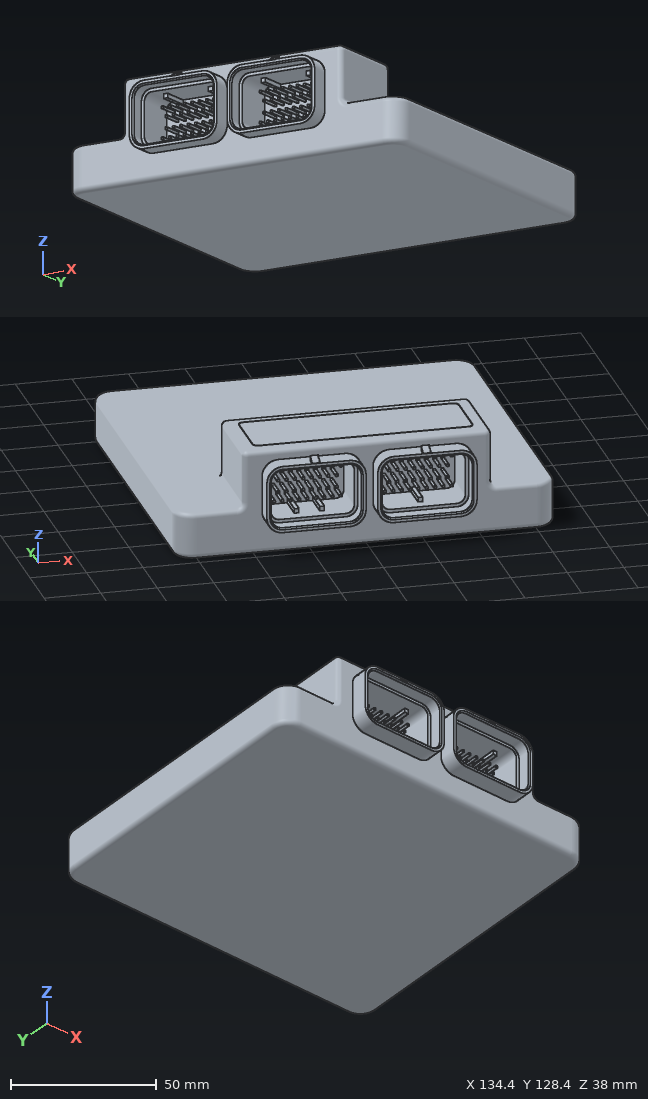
import cadquery as cq

BASE_WIDTH = 134.4
BASE_LENGTH = 121.5
BASE_HEIGHT = 17.1
BASE_CORNER_RADIUS = 7.0
TOWER_WIDTH = 87.9
TOWER_LENGTH = 31.9
TOTAL_HEIGHT = 38.0
TOTAL_LENGTH = 128.4
EDGE_RADIUS = 2.0

LABEL_WIDTH = 77.8
LABEL_LENGTH = 22.8
LABEL_CORNER_RADIUS = 2.0
LABEL_DEPTH = 0.1
LABEL_CENTER_Y = 16.1

CONNECTOR_OFFSET = 19.6
CONNECTOR_Z = 21.9
SHELL_WIDTH = 35.1
SHELL_HEIGHT = 24.3
SHELL_CORNER_RADIUS = 5.8
MOUTH_WALL = 1.1
THROAT_WALL = 1.6
BEVEL_ANGLE = 45
THROAT_DEPTH = 5.4
WELL_WALL = 2.8
WELL_DEPTH = 20.2
SHELL_FRONT_Y = BASE_LENGTH - TOTAL_LENGTH
THROAT_BACK_Y = SHELL_FRONT_Y + THROAT_DEPTH
WELL_FLOOR_Y = SHELL_FRONT_Y + WELL_DEPTH

PIN_DIAMETER = 1.0
PIN_PITCH = 3.0
PIN_LENGTH = 7.5
INNER_ROW_HEIGHT = 2.2
OUTER_ROW_HEIGHT = 5.5
PIN_ROWS = [
    (9, OUTER_ROW_HEIGHT),
    (8, INNER_ROW_HEIGHT),
    (8, -INNER_ROW_HEIGHT),
    (9, -OUTER_ROW_HEIGHT),
]

RIB_WIDTH = 1.6
RIB_HEIGHT = 1.6
RIB_LENGTH = 10.2
UPPER_RIB_OFFSET = 9.0
LOWER_RIB_OFFSET = UPPER_RIB_OFFSET / 2
WEDGE_WIDTH = 2.8
WEDGE_HEIGHT = 1.7
WEDGE_BACK_Y = -3.5
WEDGE_FRONT_Y = -6.5


def block(width, length, height):
    """Box centred on X, with its front face at Y = 0 and its bottom at Z = 0."""
    return cq.Workplane("XY").box(width, length, height, centered=(True, False, False))


def connector_plane(center_x, y):
    """Plane across a connector axis, facing out of the front of the housing."""
    return cq.Workplane(cq.Plane(origin=(center_x, y, CONNECTOR_Z), xDir=(1, 0, 0), normal=(0, -1, 0)))


def shell_outline(wall):
    """Rounded rectangle inset by `wall` from the outside of a connector shell."""
    outline = cq.Sketch().rect(SHELL_WIDTH - 2 * wall, SHELL_HEIGHT - 2 * wall)
    return outline.vertices().fillet(SHELL_CORNER_RADIUS - wall)


def rounded_plug(center_x, wall, back_y):
    """Rounded block from `back_y` to the front of a connector shell."""
    outline = connector_plane(center_x, back_y).placeSketch(shell_outline(wall))
    return outline.extrude(back_y - SHELL_FRONT_Y)


def make_housing():
    base = block(BASE_WIDTH, BASE_LENGTH, BASE_HEIGHT).edges("|Z").fillet(BASE_CORNER_RADIUS)
    tower = block(TOWER_WIDTH, TOWER_LENGTH, TOTAL_HEIGHT)
    housing = base.union(tower)
    tower_corners = housing.edges("|Z").edges(">Z")
    return housing.edges("not |Z").add(tower_corners).fillet(EDGE_RADIUS)


def make_label_recess():
    recess = block(LABEL_WIDTH, LABEL_LENGTH, LABEL_DEPTH).edges("|Z").fillet(LABEL_CORNER_RADIUS)
    return recess.translate((0, LABEL_CENTER_Y - LABEL_LENGTH / 2, TOTAL_HEIGHT - LABEL_DEPTH))


def make_cavity(center_x):
    """Stepped socket: a bevelled mouth, a throat and a narrower well behind it."""
    mouth = connector_plane(center_x, SHELL_FRONT_Y).placeSketch(shell_outline(MOUTH_WALL))
    bevel = mouth.extrude(MOUTH_WALL - THROAT_WALL, taper=BEVEL_ANGLE)
    throat = rounded_plug(center_x, THROAT_WALL, THROAT_BACK_Y)
    well = rounded_plug(center_x, WELL_WALL, WELL_FLOOR_Y)
    return throat.union(well).union(bevel)


def make_pins(center_x):
    centers = [
        ((i - (count - 1) / 2) * PIN_PITCH, height)
        for count, height in PIN_ROWS
        for i in range(count)
    ]
    floor = connector_plane(center_x, WELL_FLOOR_Y)
    return floor.pushPoints(centers).circle(PIN_DIAMETER / 2).extrude(PIN_LENGTH)


def make_ribs(center_x, lower_offsets):
    """Guide ribs along the top and bottom walls of the well."""
    wall_height = SHELL_HEIGHT / 2 - WELL_WALL
    rib_center = wall_height - RIB_HEIGHT / 2
    centers = [(offset, rib_center) for offset in (-UPPER_RIB_OFFSET, UPPER_RIB_OFFSET)]
    centers += [(offset, -rib_center) for offset in lower_offsets]
    floor = connector_plane(center_x, WELL_FLOOR_Y)
    return floor.pushPoints(centers).rect(RIB_WIDTH, RIB_HEIGHT).extrude(RIB_LENGTH)


def make_wedge(center_x):
    """Latch ramp on top of a shell, steep at the back and sloping down to the front."""
    shell_top = CONNECTOR_Z + SHELL_HEIGHT / 2
    root = shell_top - MOUTH_WALL / 2
    profile = [
        (WEDGE_FRONT_Y, root),
        (WEDGE_FRONT_Y, shell_top),
        (WEDGE_BACK_Y, shell_top + WEDGE_HEIGHT),
        (WEDGE_BACK_Y, root),
    ]
    wedge = cq.Workplane("YZ").polyline(profile).close().extrude(WEDGE_WIDTH / 2, both=True)
    return wedge.translate((center_x, 0, 0))


def add_connector(body, center_x, lower_rib_offsets):
    body = body.union(rounded_plug(center_x, 0, EDGE_RADIUS))
    body = body.cut(make_cavity(center_x))
    body = body.union(make_pins(center_x))
    body = body.union(make_ribs(center_x, lower_rib_offsets))
    return body.union(make_wedge(center_x))


result = make_housing().cut(make_label_recess())
result = add_connector(result, -CONNECTOR_OFFSET, (-LOWER_RIB_OFFSET, LOWER_RIB_OFFSET))
result = add_connector(result, CONNECTOR_OFFSET, (0,))